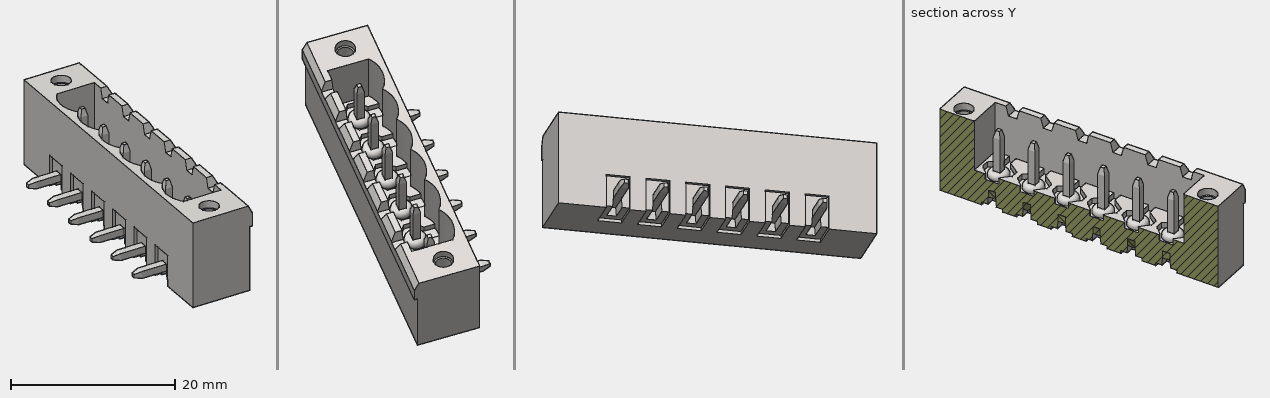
import cadquery as cq


CONTACTS = 6
PITCH = 5.0
CONTACT_Y = 3.8
CONTACT_XS = [(i - (CONTACTS - 1) / 2) * PITCH for i in range(CONTACTS)]
INSERT_X = (CONTACTS + 1) / 2 * PITCH

LENGTH = 40.0
HEIGHT = 12.0
DEPTH = 8.5
LIP_OVERHANG = 0.4
LIP_HEIGHT = 3.0
LIP_CHAMFER_Y = 0.6
LIP_CHAMFER_Z = 1.15

CAVITY_HALF = CONTACTS * PITCH / 2
CAVITY_FLOOR_Z = 4.8
CAVITY_BACK_Y = 7.0
CUSP_Y = 1.7
SCALLOP_Y = 0.8

KEY_DEPTH = 0.8
KEY_FLOOR_Z = CAVITY_FLOOR_Z - KEY_DEPTH
KEY_HALF = 2.1
KEY_SIDE_FRONT_Y = 3.5
KEY_SIDE_BACK_Y = 4.55
KEY_BACK_NECK_HALF = 0.5
KEY_BACK_NECK_Y = 5.75
KEY_FRONT_NECK_HALF = 0.95
KEY_FRONT_NECK_Y = KEY_SIDE_FRONT_Y - (KEY_HALF - KEY_FRONT_NECK_HALF)

COLLAR_DIAMETER = 2.8
COLLAR_HEIGHT = 0.8
COLLAR_ROUND = 0.6

NOTCH_TOP_HALF = 0.95
NOTCH_BOTTOM_HALF = 0.6
NOTCH_DEPTH = 1.3

PIN_SIZE = 1.0
PIN_TIP_SIZE = PIN_SIZE / 2
PIN_TAPER = 1.0
PIN_TOP_Z = 10.7
LEAD_Z = 2.0
LEAD_REACH = 4.0
POST_FRONT_Y = CONTACT_Y - PIN_SIZE / 2
POST_BACK_Y = CONTACT_Y + PIN_SIZE / 2
LEAD_BOTTOM_Z = LEAD_Z - PIN_SIZE / 2

POCKET_WIDTH = 3.0
POCKET_TOP_Z = 4.35
POCKET_DEPTH = 0.45
UNDERCUT_HEIGHT = 0.4
SLOT_MOUTH_HALF = 0.6

INSERT_DIAMETER = 2.5
INSERT_BORE = 2.0
INSERT_RECESS = 1.0
INSERT_LENGTH = 5.0


def box(x_size, y_range, z_range, x):
    """Block centred on x, between the given Y and Z limits."""
    y0, y1 = y_range
    z0, z1 = z_range
    return cq.Workplane("XY").box(x_size, y1 - y0, z1 - z0).translate((x, (y0 + y1) / 2, (z0 + z1) / 2))


def housing_block():
    wall_back_y = DEPTH - LIP_OVERHANG
    profile = [
        (0, 0),
        (wall_back_y, 0),
        (wall_back_y, HEIGHT - LIP_HEIGHT),
        (DEPTH, HEIGHT - LIP_HEIGHT),
        (DEPTH, HEIGHT - LIP_CHAMFER_Z),
        (DEPTH - LIP_CHAMFER_Y, HEIGHT),
        (0, HEIGHT),
    ]
    return cq.Workplane("YZ").polyline(profile).close().extrude(LENGTH / 2, both=True)


def scalloped_prism(floor_z):
    """Prism from floor_z to the top face, its front side scalloped once per contact."""
    outline = (
        cq.Workplane("XY", origin=(0, 0, floor_z))
        .moveTo(CAVITY_HALF, CAVITY_BACK_Y)
        .lineTo(-CAVITY_HALF, CAVITY_BACK_Y)
        .lineTo(-CAVITY_HALF, CUSP_Y)
    )
    for x in CONTACT_XS:
        outline = outline.threePointArc((x, SCALLOP_Y), (x + PITCH / 2, CUSP_Y))
    return outline.close().extrude(HEIGHT - floor_z)


def key_recess(x):
    """Octagonal recess with a narrow neck to the back wall and a wide one to the scalloped wall."""
    right_side = [
        (KEY_FRONT_NECK_HALF, 0),
        (KEY_FRONT_NECK_HALF, KEY_FRONT_NECK_Y),
        (KEY_HALF, KEY_SIDE_FRONT_Y),
        (KEY_HALF, KEY_SIDE_BACK_Y),
        (KEY_BACK_NECK_HALF, KEY_BACK_NECK_Y),
        (KEY_BACK_NECK_HALF, CAVITY_BACK_Y),
    ]
    left_side = [(-dx, y) for dx, y in reversed(right_side)]
    key = (
        cq.Workplane("XY", origin=(x, 0, KEY_FLOOR_Z))
        .polyline(right_side + left_side)
        .close()
        .extrude(KEY_DEPTH)
    )
    return key.intersect(scalloped_prism(KEY_FLOOR_Z))


def collar(x):
    return (
        cq.Workplane("XY", origin=(x, CONTACT_Y, KEY_FLOOR_Z))
        .circle(COLLAR_DIAMETER / 2)
        .extrude(COLLAR_HEIGHT)
        .faces(">Z")
        .edges()
        .fillet(COLLAR_ROUND)
    )


def wall_notch(x):
    """Tapered notch through the back wall and its lip."""
    profile = [
        (-NOTCH_TOP_HALF, HEIGHT),
        (-NOTCH_BOTTOM_HALF, HEIGHT - NOTCH_DEPTH),
        (NOTCH_BOTTOM_HALF, HEIGHT - NOTCH_DEPTH),
        (NOTCH_TOP_HALF, HEIGHT),
    ]
    return (
        cq.Workplane("XZ", origin=(x, DEPTH, 0))
        .polyline(profile)
        .close()
        .extrude(DEPTH - CAVITY_BACK_Y)
    )


def lead_pocket(x):
    """Front pocket, the undercut at its foot, and the flared slot below the lead."""
    pocket = box(POCKET_WIDTH, (0, POCKET_DEPTH), (0, POCKET_TOP_Z), x)
    undercut = box(POCKET_WIDTH, (0, POST_BACK_Y), (0, UNDERCUT_HEIGHT), x)
    slot_profile = [
        (-SLOT_MOUTH_HALF, UNDERCUT_HEIGHT),
        (SLOT_MOUTH_HALF, UNDERCUT_HEIGHT),
        (PIN_SIZE / 2, LEAD_BOTTOM_Z),
        (-PIN_SIZE / 2, LEAD_BOTTOM_Z),
    ]
    slot = (
        cq.Workplane("XZ", origin=(x, POST_FRONT_Y, 0))
        .polyline(slot_profile)
        .close()
        .extrude(POST_FRONT_Y)
    )
    return pocket.union(undercut).union(slot)


def make_pin(x):
    """Right-angle square pin, tapered at both ends."""
    lead_end_y = PIN_TAPER - LEAD_REACH
    post_end_z = PIN_TOP_Z - PIN_TAPER
    post = box(PIN_SIZE, (POST_FRONT_Y, POST_BACK_Y), (LEAD_BOTTOM_Z, post_end_z), x)
    lead = box(PIN_SIZE, (lead_end_y, POST_BACK_Y), (LEAD_BOTTOM_Z, LEAD_BOTTOM_Z + PIN_SIZE), x)
    post_tip = tapered_tip(cq.Workplane("XY", origin=(x, CONTACT_Y, post_end_z)))
    lead_tip = tapered_tip(cq.Workplane("XZ", origin=(x, lead_end_y, LEAD_Z)))
    return post.union(lead).union(post_tip).union(lead_tip)


def tapered_tip(base):
    """Square pyramid stub rising from the given workplane."""
    return (
        base.rect(PIN_SIZE, PIN_SIZE)
        .workplane(offset=PIN_TAPER)
        .rect(PIN_TIP_SIZE, PIN_TIP_SIZE)
        .loft(ruled=True)
    )


def make_insert(x):
    """Plain sleeve set below the top face."""
    top_z = HEIGHT - INSERT_RECESS
    return (
        cq.Workplane("XY", origin=(x, CONTACT_Y, top_z - INSERT_LENGTH))
        .circle(INSERT_DIAMETER / 2)
        .circle(INSERT_BORE / 2)
        .extrude(INSERT_LENGTH)
    )


def insert_hole(x):
    hole_depth = INSERT_RECESS + INSERT_LENGTH
    return (
        cq.Workplane("XY", origin=(x, CONTACT_Y, HEIGHT - hole_depth))
        .circle(INSERT_DIAMETER / 2)
        .extrude(hole_depth)
    )


def make_housing(pins):
    body = housing_block().cut(scalloped_prism(CAVITY_FLOOR_Z))
    for x in CONTACT_XS:
        body = body.cut(key_recess(x)).union(collar(x))
        body = body.cut(wall_notch(x)).cut(lead_pocket(x))
    for x in (-INSERT_X, INSERT_X):
        body = body.cut(insert_hole(x))
    for pin in pins:
        body = body.cut(pin)
    return body


pins = [make_pin(x) for x in CONTACT_XS]
inserts = [make_insert(x) for x in (-INSERT_X, INSERT_X)]
housing = make_housing(pins)

result = cq.Compound.makeCompound([body.solids().val() for body in [housing, *pins, *inserts]])